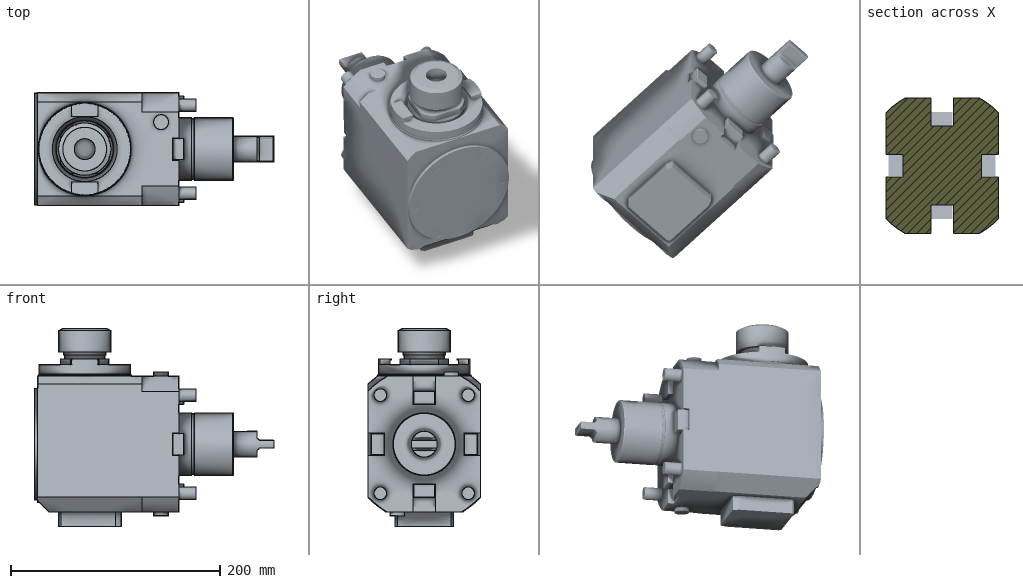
import cadquery as cq
import math


TOTAL_LENGTH = 229.05
TOTAL_HEIGHT = 189.56
SHANK_REACH = 91.0

BODY_LENGTH = 135.0
BODY_WIDTH = 108.0
BODY_HALF_HEIGHT = 65.0
TOP_CHAMFER_Y = 9.0
TOP_CHAMFER_Z = 7.6
BOTTOM_CHAMFER_Y = 17.4
BOTTOM_CHAMFER_Z = 14.5
FRONT_BEVEL = 11.0
FLANGE_LENGTH = 35.0
FLANGE_RADIUS = 74.0

COVER_RADIUS = 53.5
COVER_THICKNESS = TOTAL_LENGTH - SHANK_REACH - BODY_LENGTH
COVER_SCREW_COUNT = 6
COVER_SCREW_CIRCLE = 48.0
COVER_SCREW_RADIUS = 5.2
COVER_SCREW_RECESS = 0.2

BOLT_RADIUS = 6.0
BOLT_REACH = 16.5
BOLT_Y = 42.0
BOLT_Z = 46.9
BOLT_SEAT_RADIUS = 9.0
BOLT_SEAT_LENGTH = 10.0

KEY_WIDTH = 20.2
KEY_INNER = 38.0
KEY_OUTER = 51.0
KEY_REACH = 4.8
KEY_CHAMFER = 0.5
KEY_GAP = 0.6
SLOT_DEPTH = 6.0
SLOT_OUTER = 70.0

SHANK_RADIUS = 30.0
SHANK_END = 52.4
SHANK_CHAMFER = 1.0
SHANK_CHAMFER_DROP = 0.5
GROOVE_START = 12.2
GROOVE_END = 15.1
GROOVE_RADIUS = 29.2
RING_GROOVE_WIDTH = 0.5
RING_GROOVE_RADIUS = 28.5
STUB_RADIUS = 12.4
STUB_END = 74.9
TANG_HALF_THICKNESS = 3.8
TANG_ROOT_FLARE = 2.1
TANG_FLAT_HALF_WIDTH = 10.65
TANG_EDGE_LENGTH = 1.2
TANG_EDGE_DROP = 0.4

SPINDLE_X = -90.0
SEAT_RADIUS = 44.5
SEAT_TOP = 66.3
COLLAR_RADIUS = 44.0
COLLAR_BOTTOM = 67.1
COLLAR_GROOVE_RADIUS = 43.3
COLLAR_TOP = 76.2
MOUTH_TOP_RADIUS = 31.0
MOUTH_FLOOR_RADIUS = 27.6
MOUTH_FLOOR = 71.2
LUG_WIDTH = 25.0
LUG_TOP = 81.7
LUG_INNER = 32.7
LUG_LIP_INNER = 31.3
LUG_LIP_HEIGHT = 1.3
DISC_RADIUS = 27.2
DISC_TOP = 75.5
SQUARE_SIZE = 46.4
SQUARE_CORNER_RADIUS = 26.8
NECK_LOWER_RADIUS = 19.3
NECK_UPPER_RADIUS = 20.2
NECK_STEP = 85.2
NUT_BOTTOM = 88.1
NUT_TOP = 110.65
NUT_RADIUS = 25.0
NUT_CHAMFER_HEIGHT = 2.1
NUT_CHAMFER_RADIAL = 4.1
NUT_HOLE_RADIUS = 10.0
NUT_HOLE_DEPTH = 13.0

PIN_X = -17.0
PIN_Y = 25.8
PIN_RADIUS = 7.1
PIN_TOP_HEIGHT = 4.2
PIN_BOTTOM_HEIGHT = 3.6
FOOT_LEFT = -115.0
FOOT_LENGTH = 60.0
FOOT_WIDTH = 56.2
FOOT_BOTTOM = NUT_TOP - TOTAL_HEIGHT
FOOT_LEFT_CHAMFER_X = 2.1
FOOT_RIGHT_CHAMFER_X = 5.7
FOOT_CHAMFER_Y = 2.4


def x_cylinder(radius, start, end, y=0.0, z=0.0):
    """Cylinder along X between two X positions."""
    return cq.Workplane("YZ", origin=(start, y, z)).circle(radius).extrude(end - start)


def z_cylinder(radius, start, end, x, y=0.0):
    """Cylinder along Z between two Z positions."""
    return cq.Workplane("XY", origin=(x, y, start)).circle(radius).extrude(end - start)


def block(x_range, y_range, z_range):
    """Box given by its limits along each axis."""
    size = [high - low for low, high in (x_range, y_range, z_range)]
    corner = (x_range[0], y_range[0], z_range[0])
    return cq.Workplane("XY").box(*size, centered=False).translate(corner)


def make_body():
    """Chamfered block whose rear corners are turned about the shank axis."""
    half = BODY_WIDTH / 2
    high = BODY_HALF_HEIGHT
    section = (
        cq.Workplane("YZ", origin=(-BODY_LENGTH, 0, 0))
        .moveTo(half, -high + BOTTOM_CHAMFER_Z)
        .lineTo(half, high - TOP_CHAMFER_Z)
        .lineTo(half - TOP_CHAMFER_Y, high)
        .lineTo(-half + TOP_CHAMFER_Y, high)
        .lineTo(-half, high - TOP_CHAMFER_Z)
        .lineTo(-half, -high + BOTTOM_CHAMFER_Z)
        .lineTo(-half + BOTTOM_CHAMFER_Y, -high)
        .lineTo(half - BOTTOM_CHAMFER_Y, -high)
        .close()
    )
    front = section.extrude(BODY_LENGTH - FLANGE_LENGTH)
    bevel = (
        cq.Workplane("XZ")
        .moveTo(-BODY_LENGTH, -high)
        .lineTo(-BODY_LENGTH + FRONT_BEVEL, -high)
        .lineTo(-BODY_LENGTH, -high + FRONT_BEVEL)
        .close()
        .extrude(half, both=True)
    )
    flange = block((-FLANGE_LENGTH, 0), (-half, half), (-high, high))
    flange = flange.intersect(x_cylinder(FLANGE_RADIUS, -FLANGE_LENGTH, 0))
    return front.cut(bevel).union(flange)


def make_cover():
    """Round end cover with a circle of shallow screw recesses."""
    face = -BODY_LENGTH - COVER_THICKNESS
    cover = x_cylinder(COVER_RADIUS, face, -BODY_LENGTH)
    for i in range(COVER_SCREW_COUNT):
        angle = 2 * math.pi * i / COVER_SCREW_COUNT
        y = COVER_SCREW_CIRCLE * math.cos(angle)
        z = COVER_SCREW_CIRCLE * math.sin(angle)
        cover = cover.cut(x_cylinder(COVER_SCREW_RADIUS, face, face + COVER_SCREW_RECESS, y, z))
    return cover


def add_bolts(part):
    """Four bolts standing out of the flange face, and the seats of the lower two."""
    for y in (-BOLT_Y, BOLT_Y):
        for z in (-BOLT_Z, BOLT_Z):
            part = part.union(x_cylinder(BOLT_RADIUS, 0, BOLT_REACH, y, z))
        seat_end = -BODY_LENGTH + BOLT_SEAT_LENGTH
        part = part.union(x_cylinder(BOLT_SEAT_RADIUS, -BODY_LENGTH, seat_end, y, -BOLT_Z))
    return part


def add_keys(part):
    """Four keys, each in an open slot of the flange face."""
    slot_half = KEY_WIDTH / 2 + KEY_GAP
    slot = block((-SLOT_DEPTH, 0), (-slot_half, slot_half), (KEY_INNER, SLOT_OUTER))
    key = block(
        (-SLOT_DEPTH + KEY_GAP, KEY_REACH),
        (-KEY_WIDTH / 2, KEY_WIDTH / 2),
        (KEY_INNER, KEY_OUTER),
    )
    key = key.faces(">X").edges().chamfer(KEY_CHAMFER)
    for angle in (0, 90, 180, 270):
        part = part.cut(slot.rotate((0, 0, 0), (1, 0, 0), angle))
        part = part.union(key.rotate((0, 0, 0), (1, 0, 0), angle))
    return part


def make_shank():
    """Grooved shank, slimmer stub and drive tongue along the X axis."""
    profile = (
        cq.Workplane("XY")
        .moveTo(0, 0)
        .lineTo(0, SHANK_RADIUS)
        .lineTo(GROOVE_START, SHANK_RADIUS)
        .lineTo(GROOVE_START, GROOVE_RADIUS)
        .lineTo(GROOVE_END - RING_GROOVE_WIDTH, GROOVE_RADIUS)
        .lineTo(GROOVE_END - RING_GROOVE_WIDTH, RING_GROOVE_RADIUS)
        .lineTo(GROOVE_END, RING_GROOVE_RADIUS)
        .lineTo(GROOVE_END, SHANK_RADIUS)
        .lineTo(SHANK_END - SHANK_CHAMFER, SHANK_RADIUS)
        .lineTo(SHANK_END, SHANK_RADIUS - SHANK_CHAMFER_DROP)
        .lineTo(SHANK_END, STUB_RADIUS)
        .lineTo(STUB_END, STUB_RADIUS)
        .lineTo(STUB_END, 0)
        .close()
    )
    return profile.revolve(360, (0, 0, 0), (1, 0, 0)).union(make_tang())


def make_tang():
    """Flat drive tongue with flared root and slightly broken edges."""
    thick = TANG_HALF_THICKNESS
    flare = TANG_ROOT_FLARE
    side = (
        cq.Workplane("XZ")
        .moveTo(STUB_END, thick + flare)
        .lineTo(STUB_END + flare, thick)
        .lineTo(SHANK_REACH - TANG_EDGE_LENGTH, thick)
        .lineTo(SHANK_REACH, thick - TANG_EDGE_DROP)
        .lineTo(SHANK_REACH, -thick + TANG_EDGE_DROP)
        .lineTo(SHANK_REACH - TANG_EDGE_LENGTH, -thick)
        .lineTo(STUB_END + flare, -thick)
        .lineTo(STUB_END, -thick - flare)
        .close()
        .extrude(STUB_RADIUS, both=True)
    )
    tang = side.intersect(x_cylinder(STUB_RADIUS, STUB_END, SHANK_REACH))
    for y_side in (-1, 1):
        for z_side in (-1, 1):
            corner = (
                cq.Workplane("YZ", origin=(STUB_END + flare, 0, 0))
                .moveTo(y_side * TANG_FLAT_HALF_WIDTH, z_side * thick)
                .lineTo(y_side * STUB_RADIUS, z_side * thick)
                .lineTo(y_side * STUB_RADIUS, z_side * (thick - TANG_EDGE_DROP))
                .close()
                .extrude(SHANK_REACH - STUB_END)
            )
            tang = tang.cut(corner)
    return tang


def make_collar():
    """Ring around the spindle with a conical mouth, a fine groove and two driving lugs."""
    profile = (
        cq.Workplane("XZ", origin=(SPINDLE_X, 0, 0))
        .moveTo(0, BODY_HALF_HEIGHT)
        .lineTo(SEAT_RADIUS, BODY_HALF_HEIGHT)
        .lineTo(SEAT_RADIUS, SEAT_TOP)
        .lineTo(COLLAR_GROOVE_RADIUS, SEAT_TOP)
        .lineTo(COLLAR_GROOVE_RADIUS, COLLAR_BOTTOM)
        .lineTo(COLLAR_RADIUS, COLLAR_BOTTOM)
        .lineTo(COLLAR_RADIUS, COLLAR_TOP)
        .lineTo(MOUTH_TOP_RADIUS, COLLAR_TOP)
        .lineTo(MOUTH_FLOOR_RADIUS, MOUTH_FLOOR)
        .lineTo(0, MOUTH_FLOOR)
        .close()
    )
    collar = profile.revolve(360, (0, 0, 0), (0, 1, 0))
    x_range = (SPINDLE_X - LUG_WIDTH / 2, SPINDLE_X + LUG_WIDTH / 2)
    lug = block(x_range, (LUG_INNER, COLLAR_RADIUS), (COLLAR_TOP, LUG_TOP))
    lip = block(x_range, (LUG_LIP_INNER, COLLAR_RADIUS), (LUG_TOP - LUG_LIP_HEIGHT, LUG_TOP))
    lug = lug.union(lip).intersect(z_cylinder(COLLAR_RADIUS, COLLAR_TOP, LUG_TOP, SPINDLE_X))
    return collar.union(lug).union(lug.mirror("XZ"))


def make_spindle():
    """Round disc, square with turned corners, stepped neck and the clamping nut with its blind hole."""
    square = (
        cq.Workplane("XY", origin=(SPINDLE_X, 0, DISC_TOP))
        .rect(SQUARE_SIZE, SQUARE_SIZE)
        .extrude(LUG_TOP - DISC_TOP)
    )
    square = square.intersect(z_cylinder(SQUARE_CORNER_RADIUS, DISC_TOP, LUG_TOP, SPINDLE_X))
    disc = z_cylinder(DISC_RADIUS, MOUTH_FLOOR, DISC_TOP, SPINDLE_X)
    profile = (
        cq.Workplane("XZ", origin=(SPINDLE_X, 0, 0))
        .moveTo(0, LUG_TOP)
        .lineTo(NECK_LOWER_RADIUS, LUG_TOP)
        .lineTo(NECK_LOWER_RADIUS, NECK_STEP)
        .lineTo(NECK_UPPER_RADIUS, NECK_STEP)
        .lineTo(NECK_UPPER_RADIUS, NUT_BOTTOM)
        .lineTo(NUT_RADIUS, NUT_BOTTOM)
        .lineTo(NUT_RADIUS, NUT_TOP - NUT_CHAMFER_HEIGHT)
        .lineTo(NUT_RADIUS - NUT_CHAMFER_RADIAL, NUT_TOP)
        .lineTo(NUT_HOLE_RADIUS, NUT_TOP)
        .lineTo(NUT_HOLE_RADIUS, NUT_TOP - NUT_HOLE_DEPTH)
        .lineTo(0, NUT_TOP - NUT_HOLE_DEPTH)
        .close()
    )
    return disc.union(square).union(profile.revolve(360, (0, 0, 0), (0, 1, 0)))


def make_foot():
    """Block under the body with its four upright edges broken."""
    right = FOOT_LEFT + FOOT_LENGTH
    half = FOOT_WIDTH / 2
    inner = half - FOOT_CHAMFER_Y
    return (
        cq.Workplane("XY", origin=(0, 0, FOOT_BOTTOM))
        .moveTo(FOOT_LEFT, -inner)
        .lineTo(FOOT_LEFT + FOOT_LEFT_CHAMFER_X, -half)
        .lineTo(right - FOOT_RIGHT_CHAMFER_X, -half)
        .lineTo(right, -inner)
        .lineTo(right, inner)
        .lineTo(right - FOOT_RIGHT_CHAMFER_X, half)
        .lineTo(FOOT_LEFT + FOOT_LEFT_CHAMFER_X, half)
        .lineTo(FOOT_LEFT, inner)
        .close()
        .extrude(-BODY_HALF_HEIGHT - FOOT_BOTTOM)
    )


def add_pins(part):
    """One pin on top and one underneath, on opposite sides of the middle."""
    high = BODY_HALF_HEIGHT
    part = part.union(z_cylinder(PIN_RADIUS, high, high + PIN_TOP_HEIGHT, PIN_X, PIN_Y))
    return part.union(z_cylinder(PIN_RADIUS, -high - PIN_BOTTOM_HEIGHT, -high, PIN_X, -PIN_Y))


result = make_body().union(make_cover())
result = add_keys(result)
result = result.union(make_shank())
result = add_bolts(result)
result = result.union(make_collar()).union(make_spindle()).union(make_foot())
result = add_pins(result).clean()